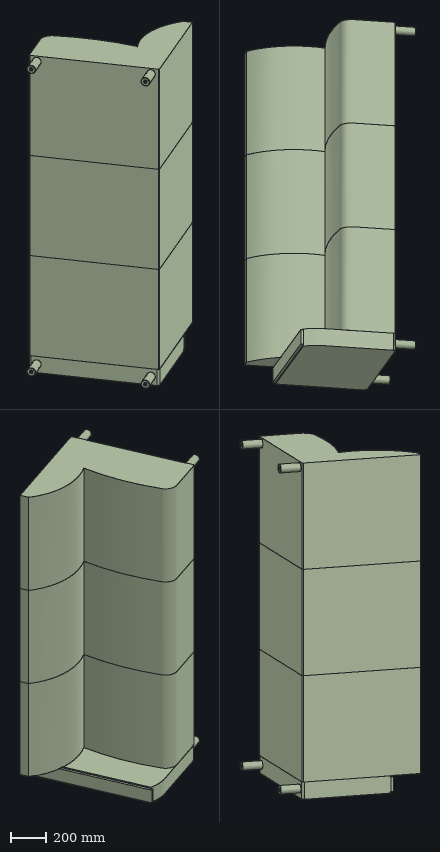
import cadquery as cq

LENGTH = 1951.0
DEPTH = 767.0
OVERALL_HEIGHT = 830.0

LEG_HEIGHT = 121.0
BODY_HEIGHT = OVERALL_HEIGHT - LEG_HEIGHT

ARM_THICKNESS = 101.0
MODULE_COUNT = 3
MODULE_LENGTH = (LENGTH - ARM_THICKNESS) / MODULE_COUNT

NOSE_START_HEIGHT = 242.0
NOSE_MIDDLE = (20.0, 290.0)
NOSE_END = (59.0, 312.0)
SEAT_CROWN = (235.0, 324.0)
CREASE = (558.0, 289.0)
BACK_BELLY = (560.0, 476.0)
BACK_TOP_X = 712.0
MODULE_CHAMFER = 5.0

ARM_HEIGHT = 530.0
ARM_CURVE_START = 415.0
ARM_CURVE_MIDDLE = (10.0, 476.0)
ARM_TOP_X = 33.0
ARM_CHAMFER = 14.0

CAP_THICKNESS = 15.0
CAP_FRONT_X = 20.0
CAP_INSET = 8.0

LEG_DIAMETER = 50.0
LEG_CHAMFER = 2.0
LEG_BORE_DIAMETER = 19.1
LEG_BORE_DEPTH = 10.0
LEG_PILOT_DIAMETER = 8.0
LEG_PILOT_DEPTH = 30.0
FRONT_LEG_X = 47.0
LEG_SPACING = 671.0
ARM_LEG_Z = 55.0
END_LEG_Z = LENGTH - 33.0


def make_module(start_z):
    """One seat section with its backrest."""
    return (
        cq.Workplane("XY", origin=(0, 0, start_z))
        .moveTo(0, 0)
        .lineTo(0, NOSE_START_HEIGHT)
        .threePointArc(NOSE_MIDDLE, NOSE_END)
        .threePointArc(SEAT_CROWN, CREASE)
        .threePointArc(BACK_BELLY, (BACK_TOP_X, BODY_HEIGHT))
        .lineTo(DEPTH, BODY_HEIGHT)
        .lineTo(DEPTH, 0)
        .close()
        .extrude(MODULE_LENGTH)
        .faces("<Y").edges("|Z").chamfer(MODULE_CHAMFER)
    )


def make_arm():
    """Upright end panel with a curved front top."""
    return (
        cq.Workplane("XY")
        .moveTo(0, 0)
        .lineTo(0, ARM_CURVE_START)
        .threePointArc(ARM_CURVE_MIDDLE, (ARM_TOP_X, ARM_HEIGHT))
        .lineTo(DEPTH, ARM_HEIGHT)
        .lineTo(DEPTH, 0)
        .close()
        .extrude(ARM_THICKNESS)
        .faces("<Y").edges("|Z").chamfer(ARM_CHAMFER)
    )


def make_arm_cap():
    """Thin board lying on the arm and overhanging its curved front."""
    return cq.Workplane("XY").box(
        DEPTH - CAP_FRONT_X, CAP_THICKNESS, ARM_THICKNESS - 2 * CAP_INSET, centered=False
    ).translate((CAP_FRONT_X, ARM_HEIGHT, CAP_INSET))


def make_leg(x, z):
    """Round leg hanging from the base, with a stepped hole in its foot."""
    leg = (
        cq.Workplane("XZ", origin=(x, 0, z))
        .circle(LEG_DIAMETER / 2)
        .extrude(LEG_HEIGHT)
        .faces("<Y").chamfer(LEG_CHAMFER)
    )
    return leg.faces("<Y").workplane(centerOption="CenterOfMass").cboreHole(
        LEG_PILOT_DIAMETER, LEG_BORE_DIAMETER, LEG_BORE_DEPTH, LEG_PILOT_DEPTH
    )


modules = [make_module(ARM_THICKNESS + i * MODULE_LENGTH) for i in range(MODULE_COUNT)]
arm = make_arm()
arm_cap = make_arm_cap()
legs = [
    make_leg(x, z)
    for x in (FRONT_LEG_X, FRONT_LEG_X + LEG_SPACING)
    for z in (ARM_LEG_Z, END_LEG_Z)
]

result = cq.Compound.makeCompound(
    [module.val() for module in modules]
    + [arm.val(), arm_cap.val()]
    + [leg.val() for leg in legs]
)